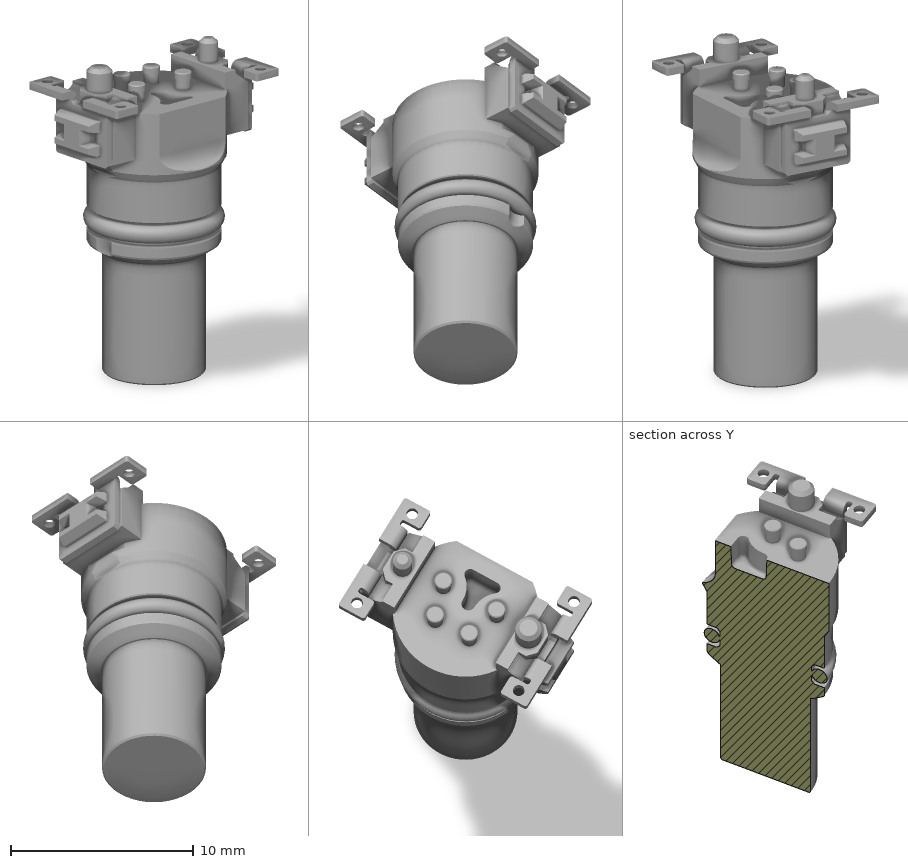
import cadquery as cq
import math

stem_radius = 2.85
stem_edge_chamfer = 0.1
collar_radius = 3.71
collar_bottom = 7.0
collar_root_radius = 2.95
collar_shoulder = 7.47
collar_shoulder_radius = 3.65
collar_top = 8.17
gland_radius = 2.9
gland_corner = 0.18
gland_top = 9.57
band_edge_chamfer = 0.06
band_edge_rise = 0.12
head_cone_bottom = 11.97
head_cone_top = 12.47
head_radius = 4.0
head_top = 15.98
o_ring_section_radius = 0.5
o_ring_center_radius = 3.39
o_ring_height = 8.88

cutter_reach = head_radius + 1
key_flat_x = 3.19
key_flat_bottom = 13.56
key_flat_blend_radius = 1.0
key_flat_blend_angle = math.radians(60)
side_flat_y = 3.76
side_flat_bottom = 13.0
latch_groove_half_width = 1.0
latch_groove_upper_y = 3.955
latch_groove_arc_start = 12.93
latch_groove_arc_middle = (3.91, 12.62)
latch_groove_arc_end = (3.83, 12.36)
latch_groove_floor_y = 3.69
latch_groove_floor_top = 12.16
collar_notch_radius = 0.8
collar_notch_y = -4.16

contact_positions = [(-1.45, 1.08), (-1.45, -1.08), (0.49, 1.69), (0.49, -1.69)]
contact_stem_radius = 0.42
contact_head_radius = 0.48
contact_head_bottom = 16.59
contact_head_chamfer = 0.05
pocket_nose_x = 0.32
pocket_nose_radius = 0.38
pocket_lobe_x = 1.86
pocket_lobe_y = 0.78
pocket_lobe_radius = 0.32
pocket_depth = 1.5
pocket_draft_angle = 2
pocket_floor_fillet = 0.22

mount_top = 16.97
block_half_width = 2.24
block_inner_y = 3.22
block_outer_y = 4.9
block_bottom = 13.34
ramp_wall_y = 3.98
ramp_blend = 0.14
ramp_blend_z = 16.66
ramp_end_y = 4.8
ramp_bottom = 16.19
ramp_step = 0.06
boss_half_width = 1.07
boss_tip_half_width = 0.6
boss_corner_y = 4.45
peg_y = 4.0
peg_top = 18.3
peg_chamfer = 0.22
front_peg_radius = 0.71
rear_peg_radius = 0.52

sheet_thickness = 0.42
clip_face_y = block_outer_y + sheet_thickness
clip_half_width = 2.12
clip_bottom = 13.17
clip_corner_chamfer = 0.13
flange_bottom = mount_top - sheet_thickness
flange_outer_y = 5.97
ear_inner_x = 2.47
ear_outer_x = 3.65
ear_inner_y = 4.31
ear_corner_radius = 0.15
ear_hole_x = 3.02
ear_hole_y = 5.13
ear_hole_radius = 0.32
relief_slot_end_y = 5.43
relief_slot_corner_radius = 0.12
window_half_width = 0.85
window_sill_half_width = 0.65
window_sill = 16.22
window_corner = 16.4

latch_center_z = 14.79
latch_outer_y = 6.05
latch_base_y = clip_face_y + 0.17
latch_base = (1.6, 1.02, 0.86, 0.37)
latch_tip = (1.42, 0.81, 0.61, 0.48)
latch_corner_radius = 0.1
curl_inner_x = 0.92
curl_outer_x = 1.42


def box_between(x0, x1, y0, y1, z0, z1):
    return cq.Workplane("XY").box(x1 - x0, y1 - y0, z1 - z0, centered=False).translate((x0, y0, z0))


def mirrored_pair(shape):
    """Shape together with its mirror image across X = 0."""
    return shape.union(shape.mirror("YZ"))


def barrel():
    profile = [
        (0, 0),
        (stem_radius - stem_edge_chamfer, 0),
        (stem_radius, stem_edge_chamfer),
        (stem_radius, collar_bottom),
        (collar_root_radius, collar_bottom),
        (collar_shoulder_radius, collar_shoulder),
        (collar_radius, collar_shoulder + band_edge_rise),
        (collar_radius, collar_top),
        (gland_radius + gland_corner, collar_top),
        (gland_radius, collar_top + gland_corner),
        (gland_radius, gland_top - gland_corner),
        (gland_radius + gland_corner, gland_top),
        (collar_radius - band_edge_chamfer, gland_top),
        (collar_radius, gland_top + band_edge_chamfer),
        (collar_radius, head_cone_bottom),
        (head_radius, head_cone_top),
        (head_radius, head_top),
        (0, head_top),
    ]
    return cq.Workplane("XZ").polyline(profile).close().revolve(360, (0, 0), (0, 1))


def o_ring():
    section = cq.Workplane("XZ").center(o_ring_center_radius, o_ring_height).circle(o_ring_section_radius)
    return section.revolve(360, (-o_ring_center_radius, 0), (-o_ring_center_radius, 1))


def key_flat_cut():
    """Flat on +X that blends outwards through an arc and runs off at a tangent."""
    center_x = key_flat_x + key_flat_blend_radius

    def blend_point(angle):
        return (
            center_x - key_flat_blend_radius * math.cos(angle),
            key_flat_bottom - key_flat_blend_radius * math.sin(angle),
        )

    end_x, end_z = blend_point(key_flat_blend_angle)
    runout_z = end_z - (cutter_reach - end_x) / math.tan(key_flat_blend_angle)
    outline = (
        cq.Workplane("XZ")
        .moveTo(key_flat_x, mount_top)
        .lineTo(key_flat_x, key_flat_bottom)
        .threePointArc(blend_point(key_flat_blend_angle / 2), (end_x, end_z))
        .lineTo(cutter_reach, runout_z)
        .lineTo(cutter_reach, mount_top)
        .close()
    )
    return outline.extrude(head_radius, both=True)


def side_flat_cut():
    return box_between(-head_radius, head_radius, side_flat_y, cutter_reach, side_flat_bottom, mount_top)


def latch_groove_cut():
    """Undercut below the side flat, stepping inwards towards the head cone."""
    outline = (
        cq.Workplane("YZ")
        .moveTo(cutter_reach, side_flat_bottom)
        .lineTo(latch_groove_upper_y, side_flat_bottom)
        .lineTo(latch_groove_upper_y, latch_groove_arc_start)
        .threePointArc(latch_groove_arc_middle, latch_groove_arc_end)
        .lineTo(latch_groove_floor_y, latch_groove_floor_top)
        .lineTo(latch_groove_floor_y, head_cone_bottom)
        .lineTo(cutter_reach, head_cone_bottom)
        .close()
    )
    return outline.extrude(latch_groove_half_width, both=True)


def collar_notch_cut():
    notch = cq.Workplane("XY", origin=(0, collar_notch_y, collar_bottom)).circle(collar_notch_radius)
    return notch.extrude(collar_top - collar_bottom)


def contact_pin(x, y):
    stem = cq.Workplane("XY", origin=(x, y, head_top)).circle(contact_stem_radius)
    stem = stem.extrude(contact_head_bottom - head_top)
    head = cq.Workplane("XY", origin=(x, y, contact_head_bottom)).circle(contact_head_radius)
    head = head.extrude(mount_top - contact_head_bottom).faces(">Z").chamfer(contact_head_chamfer)
    return stem.union(head)


def pocket_cut():
    """Drafted trumpet-shaped pocket with a round nose, hollow flanks, two lobes and a filleted floor."""
    lobe_dx = pocket_lobe_x - pocket_nose_x
    lobe_dy = pocket_lobe_y - pocket_nose_radius
    flank_radius = (lobe_dx**2 + lobe_dy**2 - pocket_lobe_radius**2) / (2 * (lobe_dy + pocket_lobe_radius))
    flank_y = pocket_nose_radius + flank_radius
    flank_angle = math.asin(lobe_dx / (flank_radius + pocket_lobe_radius))
    lobe_middle_angle = (math.pi / 2 - flank_angle) / 2

    def on_flank(angle):
        return pocket_nose_x + flank_radius * math.sin(angle), flank_y - flank_radius * math.cos(angle)

    def on_lobe(angle):
        return (
            pocket_lobe_x + pocket_lobe_radius * math.sin(angle),
            pocket_lobe_y + pocket_lobe_radius * math.cos(angle),
        )

    def lower(point):
        return point[0], -point[1]

    nose_top = (pocket_nose_x, pocket_nose_radius)
    flank_middle = on_flank(flank_angle / 2)
    flank_end = on_flank(flank_angle)
    lobe_middle = on_lobe(lobe_middle_angle)
    lobe_end = on_lobe(math.pi / 2)
    outline = (
        cq.Workplane("XY", origin=(0, 0, head_top))
        .moveTo(*lower(nose_top))
        .threePointArc((pocket_nose_x - pocket_nose_radius, 0), nose_top)
        .threePointArc(flank_middle, flank_end)
        .threePointArc(lobe_middle, lobe_end)
        .lineTo(*lower(lobe_end))
        .threePointArc(lower(lobe_middle), lower(flank_end))
        .threePointArc(lower(flank_middle), lower(nose_top))
        .close()
    )
    pocket = outline.extrude(-pocket_depth, taper=pocket_draft_angle)
    return pocket.faces("<Z").edges().fillet(pocket_floor_fillet)


def mounting_block():
    """Block on the +Y side, ramped down towards the clip on both sides of a central boss."""
    block = box_between(
        -block_half_width, block_half_width, block_inner_y, block_outer_y, block_bottom, mount_top
    )
    ramp = (
        cq.Workplane("YZ")
        .moveTo(ramp_wall_y, mount_top)
        .lineTo(ramp_wall_y, ramp_blend_z + ramp_blend)
        .lineTo(ramp_wall_y + ramp_blend, ramp_blend_z)
        .lineTo(ramp_end_y, ramp_bottom)
        .lineTo(ramp_end_y, ramp_bottom - ramp_step)
        .lineTo(block_outer_y, ramp_bottom - ramp_step)
        .lineTo(block_outer_y, mount_top)
        .close()
        .extrude(block_half_width, both=True)
    )
    boss_outline = [
        (-boss_half_width, ramp_wall_y),
        (-boss_half_width, boss_corner_y),
        (-boss_tip_half_width, block_outer_y),
        (boss_tip_half_width, block_outer_y),
        (boss_half_width, boss_corner_y),
        (boss_half_width, ramp_wall_y),
    ]
    boss = cq.Workplane("XY", origin=(0, 0, block_bottom)).polyline(boss_outline).close()
    return block.cut(ramp.cut(boss.extrude(mount_top - block_bottom)))


def locating_peg(radius):
    peg = cq.Workplane("XY", origin=(0, peg_y, mount_top)).circle(radius).extrude(peg_top - mount_top)
    return peg.faces(">Z").chamfer(peg_chamfer)


def clip_sheet():
    """Upright sheet with a rounded outward bend into a flange carrying two drilled ears."""
    upright = box_between(
        -clip_half_width, clip_half_width, block_outer_y, clip_face_y, clip_bottom, flange_bottom
    )
    upright = upright.edges("|Y and <Z").chamfer(clip_corner_chamfer)
    bend = cq.Workplane("YZ", origin=(-clip_half_width, clip_face_y, flange_bottom)).circle(sheet_thickness)
    bend = bend.extrude(2 * clip_half_width).intersect(
        box_between(
            -clip_half_width, clip_half_width, block_outer_y, clip_face_y, flange_bottom, mount_top
        )
    )
    flange = box_between(
        -ear_outer_x, ear_outer_x, ear_inner_y, flange_outer_y, flange_bottom, mount_top
    )
    gap = box_between(
        -ear_inner_x, ear_inner_x, ear_inner_y, clip_face_y, flange_bottom, mount_top
    )
    slot = box_between(
        clip_half_width, ear_inner_x, ear_inner_y, relief_slot_end_y, flange_bottom, mount_top
    )
    slot = slot.edges("|Z and >Y").fillet(relief_slot_corner_radius)
    flange = flange.cut(gap).cut(mirrored_pair(slot))
    flange = flange.edges("|Z and (>X or <X or <Y)").fillet(ear_corner_radius)
    holes = cq.Workplane("XY", origin=(0, 0, flange_bottom))
    holes = holes.pushPoints([(-ear_hole_x, ear_hole_y), (ear_hole_x, ear_hole_y)]).circle(ear_hole_radius)
    flange = flange.cut(holes.extrude(sheet_thickness))
    return upright.union(bend).union(flange)


def clip_window_cut():
    """Opening through the bend and flange in front of the boss."""
    outline = [
        (-window_half_width, mount_top),
        (-window_half_width, window_corner),
        (-window_sill_half_width, window_sill),
        (window_sill_half_width, window_sill),
        (window_half_width, window_corner),
        (window_half_width, mount_top),
    ]
    window = cq.Workplane("XZ", origin=(0, block_outer_y, 0)).polyline(outline).close()
    return window.extrude(block_outer_y - flange_outer_y)


def curl_cut():
    """Relief in the sheet behind each latch notch, leaving an edge curled inwards."""
    _, _, _, notch_half_height = latch_base
    low = latch_center_z - notch_half_height
    high = latch_center_z + notch_half_height
    relief = box_between(curl_inner_x, curl_outer_x, block_outer_y, clip_face_y, low, high)
    curl_radius = curl_outer_x - curl_inner_x
    curl = cq.Workplane("XY", origin=(curl_outer_x, clip_face_y - curl_radius, low)).circle(curl_radius)
    return mirrored_pair(relief.cut(curl.extrude(high - low)))


def latch_outline(section):
    half_width, half_height, web, notch = section
    right_side = [
        (half_width, -half_height),
        (half_width, -notch),
        (web, -notch),
        (web, notch),
        (half_width, notch),
        (half_width, half_height),
    ]
    left_side = [(-x, -z) for x, z in right_side]
    return right_side + left_side


def latch_button():
    """H-shaped button: straight root on the sheet, then faces drafted in to the tip."""
    root = (
        cq.Workplane("XZ", origin=(0, clip_face_y, latch_center_z))
        .polyline(latch_outline(latch_base))
        .close()
        .extrude(clip_face_y - latch_base_y)
    )
    drafted = (
        cq.Workplane("XZ", origin=(0, latch_base_y, latch_center_z))
        .polyline(latch_outline(latch_base))
        .close()
        .workplane(offset=latch_base_y - latch_outer_y)
        .polyline(latch_outline(latch_tip))
        .close()
        .loft(ruled=True)
    )
    half_width, half_height, _, _ = latch_base
    rounded_envelope = box_between(
        -half_width, half_width, clip_face_y, latch_outer_y,
        latch_center_z - half_height, latch_center_z + half_height,
    )
    rounded_envelope = rounded_envelope.edges("|Y").fillet(latch_corner_radius)
    return root.union(drafted).intersect(rounded_envelope)


def side_mount(peg_radius):
    """Complete +Y mount: block, locating peg, clip and latch button."""
    clip = clip_sheet().cut(clip_window_cut()).cut(curl_cut()).union(latch_button())
    return mounting_block().union(locating_peg(peg_radius)).union(clip)


body = barrel().cut(key_flat_cut()).cut(collar_notch_cut()).cut(pocket_cut())
for cutter in (side_flat_cut(), latch_groove_cut()):
    body = body.cut(cutter).cut(cutter.mirror("XZ"))
body = body.union(o_ring())
for contact_x, contact_y in contact_positions:
    body = body.union(contact_pin(contact_x, contact_y))

result = body.union(side_mount(rear_peg_radius)).union(side_mount(front_peg_radius).mirror("XZ"))